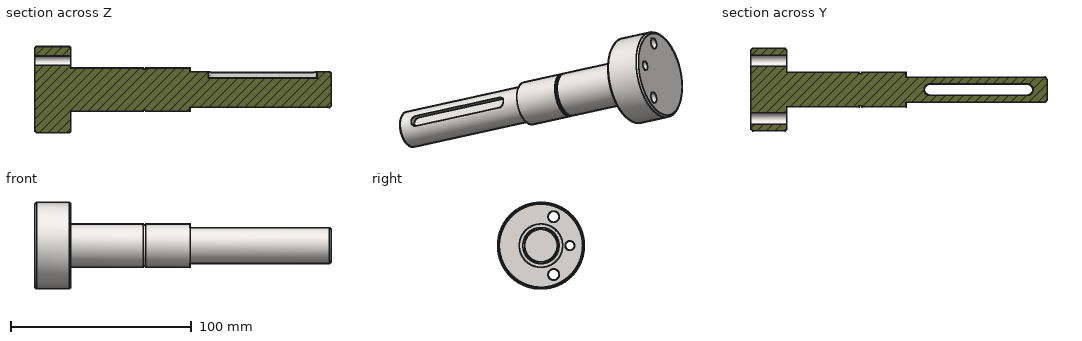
import cadquery as cq

FLANGE_DIAMETER = 48.0
FLANGE_LENGTH = 20.0
FLANGE_CHAMFER = 1.0

SHAFT_DIAMETER = 24.0
SHOULDER_X = 86.0
JOURNAL_DIAMETER = 20.0
OVERALL_LENGTH = 164.0
END_CHAMFER = 1.0

GROOVE_START_X = 60.0
GROOVE_WIDTH = 1.3
GROOVE_DIAMETER = 22.9

KEYWAY_WIDTH = 6.0
KEYWAY_DEPTH = 3.5
KEYWAY_LENGTH = 60.0
KEYWAY_SETBACK = 10.0
KEYWAY_CENTER_X = SHOULDER_X + KEYWAY_SETBACK + KEYWAY_LENGTH / 2

BOLT_HOLE_DIAMETER = 6.0
BOLT_HOLE_Y = 7.0
BOLT_HOLE_Z = 16.0
PIN_HOLE_DIAMETER = 5.0
PIN_HOLE_Y = 16.0


def cylinder(start_x, end_x, diameter):
    """Cylinder along the X axis between two stations."""
    return cq.Workplane("YZ", origin=(start_x, 0, 0)).circle(diameter / 2).extrude(end_x - start_x)


def make_flange():
    """Chamfered disc with two bolt holes and one pin hole."""
    flange = cylinder(0, FLANGE_LENGTH, FLANGE_DIAMETER).edges().chamfer(FLANGE_CHAMFER)
    bolt_positions = [(BOLT_HOLE_Y, side * BOLT_HOLE_Z) for side in (-1, 1)]
    bolt_holes = cq.Workplane("YZ").pushPoints(bolt_positions).circle(BOLT_HOLE_DIAMETER / 2)
    pin_hole = cq.Workplane("YZ").center(PIN_HOLE_Y, 0).circle(PIN_HOLE_DIAMETER / 2)
    return flange.cut(bolt_holes.extrude(FLANGE_LENGTH)).cut(pin_hole.extrude(FLANGE_LENGTH))


def make_groove():
    """Square-walled ring removed from the thick shaft."""
    groove_end_x = GROOVE_START_X + GROOVE_WIDTH
    ring = cylinder(GROOVE_START_X, groove_end_x, SHAFT_DIAMETER)
    return ring.cut(cylinder(GROOVE_START_X, groove_end_x, GROOVE_DIAMETER))


def make_keyway():
    """Cutter for the keyway, from its flat floor out to the journal surface."""
    radius = JOURNAL_DIAMETER / 2
    floor = cq.Workplane("XZ", origin=(KEYWAY_CENTER_X, radius - KEYWAY_DEPTH, 0))
    return floor.slot2D(KEYWAY_LENGTH, KEYWAY_WIDTH).extrude(-KEYWAY_DEPTH)


shaft = cylinder(FLANGE_LENGTH, SHOULDER_X, SHAFT_DIAMETER).cut(make_groove())
journal = cylinder(SHOULDER_X, OVERALL_LENGTH, JOURNAL_DIAMETER).faces(">X").chamfer(END_CHAMFER)
journal = journal.cut(make_keyway())

result = make_flange().union(shaft).union(journal)